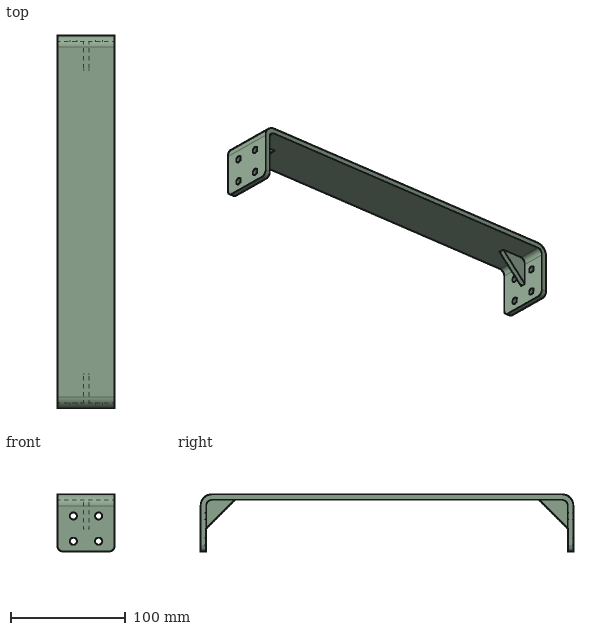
import cadquery as cq

width = 50.0
length = 325.0
height = 50.0
thickness = 5.0
bend_radius = 10.0
corner_radius = 5.0
hole_diameter = 6.0
hole_spacing = 22.0
gusset_leg = 25.0
gusset_thickness = 5.0

half_length = length / 2
inner_half_length = half_length - thickness
inner_height = height - thickness
hole_center_height = (height - bend_radius) / 2


def make_bent_plate():
    """U-shaped strip with rounded bends and rounded lower corners."""
    outer = (
        cq.Workplane("XY")
        .box(width, length, height, centered=(True, True, False))
        .edges("|X and >Z")
        .fillet(bend_radius)
    )
    inner = (
        cq.Workplane("XY")
        .box(width, 2 * inner_half_length, inner_height, centered=(True, True, False))
        .edges("|X and >Z")
        .fillet(bend_radius - thickness)
    )
    return outer.cut(inner).edges("|Y and <Z").fillet(corner_radius)


def make_gusset(side):
    """Triangular rib, centred on X = 0, in the inner corner at the given Y side (-1 or 1)."""
    outline = [
        (side * inner_half_length, inner_height),
        (side * inner_half_length, inner_height - gusset_leg),
        (side * (inner_half_length - gusset_leg), inner_height),
    ]
    return cq.Workplane("YZ").polyline(outline).close().extrude(gusset_thickness / 2, both=True)


def make_leg_holes():
    """Square pattern of mounting holes running through both legs."""
    return (
        cq.Workplane("XZ")
        .center(0, hole_center_height)
        .rarray(hole_spacing, hole_spacing, 2, 2)
        .circle(hole_diameter / 2)
        .extrude(half_length, both=True)
    )


result = make_bent_plate()
for side in (-1, 1):
    result = result.union(make_gusset(side))
result = result.cut(make_leg_holes())